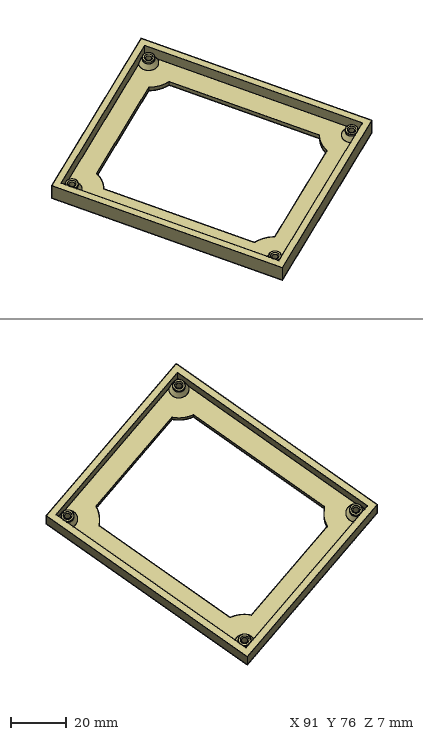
import cadquery as cq

LENGTH = 91.0
WIDTH = 76.0
HEIGHT = 7.0
WALL = 2.55
FLOOR = 2.0

WINDOW_INSET = 10.4
LAND_RADIUS = 11.5

BOSS_INSET = 5.5
FOOT_RADIUS = 3.6
NECK_RADIUS = 2.3
HOLE_RADIUS = 1.1
SINK_RADIUS = 1.55
SINK_DEPTH = 0.5
FOOT_HEIGHT = 2.0
NECK_HEIGHT = 1.0

BOSS_TOP = FLOOR + FOOT_HEIGHT + NECK_HEIGHT
BOSS_X = LENGTH / 2 - BOSS_INSET
BOSS_Y = WIDTH / 2 - BOSS_INSET
BOSS_CENTRES = [(sx * BOSS_X, sy * BOSS_Y) for sx in (-1, 1) for sy in (-1, 1)]


def block(inset, bottom, top):
    """Rectangular block set in from the outer outline on all four sides."""
    return (
        cq.Workplane("XY", origin=(0, 0, bottom))
        .rect(LENGTH - 2 * inset, WIDTH - 2 * inset)
        .extrude(top - bottom)
    )


def make_tray():
    """Open tray with a window in its floor and a round land at each corner."""
    lands = cq.Workplane("XY").pushPoints(BOSS_CENTRES).circle(LAND_RADIUS).extrude(FLOOR)
    window = block(WINDOW_INSET, 0, FLOOR).cut(lands)
    return block(0, 0, HEIGHT).cut(block(WALL, FLOOR, HEIGHT)).cut(window)


def make_boss(x, y):
    """Solid boss of revolution rising from the underside of the frame."""
    shoulder = FLOOR + FOOT_HEIGHT
    profile = [
        (0, 0),
        (FOOT_RADIUS, 0),
        (FOOT_RADIUS, FLOOR),
        (NECK_RADIUS, shoulder),
        (NECK_RADIUS, BOSS_TOP),
        (0, BOSS_TOP),
    ]
    boss = cq.Workplane("XZ").polyline(profile).close().revolve(360, (0, 0, 0), (0, 1, 0))
    return boss.translate((x, y, 0))


result = make_tray()
for centre in BOSS_CENTRES:
    result = result.union(make_boss(*centre).intersect(block(0, 0, HEIGHT)))

holes = cq.Workplane("XY").pushPoints(BOSS_CENTRES).circle(HOLE_RADIUS).extrude(BOSS_TOP)
for x, y in BOSS_CENTRES:
    mouth_base = cq.Vector(x, y, BOSS_TOP - SINK_DEPTH)
    mouth = cq.Solid.makeCone(HOLE_RADIUS, SINK_RADIUS, SINK_DEPTH, mouth_base)
    holes = holes.union(cq.Workplane(mouth))
result = result.cut(holes)